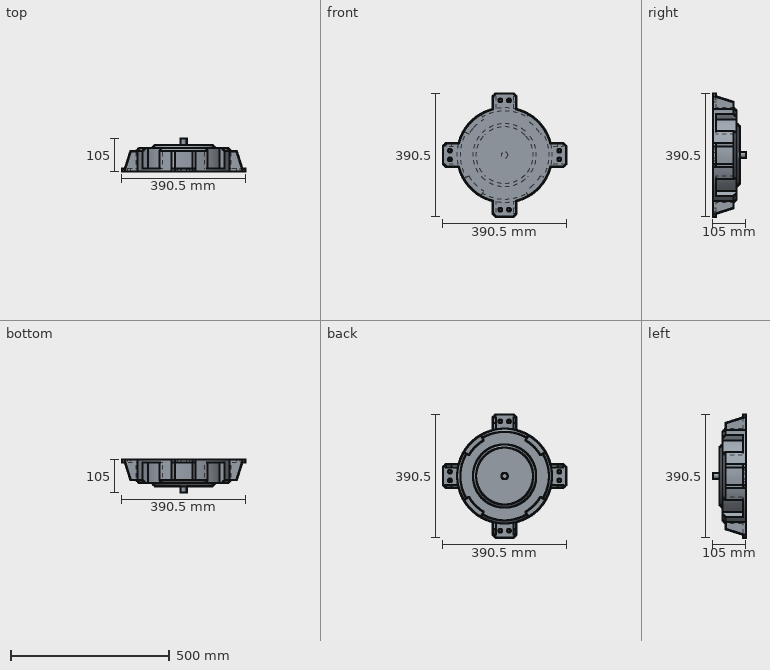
import cadquery as cq
import math

body_radius = 150.0
body_height = 75.0
body_chamfer = 10.0
cap_radius = 100.0
cap_height = 10.0
cap_chamfer = 10.0
shaft_diameter = 20.0
shaft_length = 20.0

tab_width = 75.0
tab_length = 50.0
tab_thickness = 10.0
tab_corner = 10.0
rib_thickness = 10.0
rib_height = body_height - body_chamfer
rib_foot_inset = 10.0
rib_top_inset = 27.5
hole_diameter = 10.0
hole_end_distance = 22.5

recess_angle = 29.5
recess_floor_radius = 131.0

quarter_turns = [0, 90, 180, 270]
recess_turn = 45

tab_root = math.sqrt(body_radius**2 - (tab_width / 2)**2)
tab_end = tab_root + tab_length
rib_gap = tab_width - 2 * rib_thickness
hole_spacing = rib_gap / 2


def disc(radius, height, base):
    """Cylinder about the Y axis, rising from Y = base."""
    return cq.Workplane("XZ", origin=(0, base, 0)).circle(radius).extrude(-height)


def turned(shape, angle):
    """Copy of a shape turned about the Y axis."""
    return shape.rotate((0, 0, 0), (0, 1, 0), angle)


def round_body():
    cap_top = body_height + cap_height
    body = disc(body_radius, body_height, 0).faces(">Y").chamfer(body_chamfer)
    cap = cq.Workplane("XY").polyline([
        (0, body_height),
        (cap_radius, body_height),
        (cap_radius - cap_chamfer, cap_top),
        (0, cap_top),
    ]).close().revolve(360, (0, 0, 0), (0, 1, 0))
    shaft = disc(shaft_diameter / 2, shaft_length, cap_top)
    return body.union(cap).union(shaft)


def tab_plate():
    """Tab along +X, running from the axis to its chamfered outer end."""
    return (
        cq.Workplane("XY")
        .box(tab_end, tab_thickness, tab_width, centered=(False, False, True))
        .edges("|Y and >X")
        .chamfer(tab_corner)
    )


def tab_rib(middle_z):
    """Sloping rib along +X, centred at the given Z and rooted inside the body wall."""
    root = recess_floor_radius
    return (
        cq.Workplane("XY", origin=(0, 0, middle_z))
        .moveTo(root, 0)
        .lineTo(tab_end - rib_foot_inset, 0)
        .lineTo(tab_end - rib_foot_inset, tab_thickness)
        .lineTo(tab_end - rib_top_inset, rib_height)
        .lineTo(root, rib_height)
        .close()
        .extrude(rib_thickness / 2, both=True)
    )


def tab_holes():
    hole_x = tab_end - hole_end_distance
    return (
        cq.Workplane("XZ")
        .pushPoints([(hole_x, -hole_spacing / 2), (hole_x, hole_spacing / 2)])
        .circle(hole_diameter / 2)
        .extrude(-tab_thickness)
    )


def mounting_tab():
    rib_offset = (tab_width - rib_thickness) / 2
    tab = tab_plate().union(tab_rib(rib_offset)).union(tab_rib(-rib_offset))
    return tab.cut(tab_holes())


def wall_recess():
    """Cutter about +X with radial sides and a round floor, open at the top of the body."""
    height = body_height - tab_thickness
    half_angle = math.radians(recess_angle / 2)
    reach = 2 * body_radius
    half_width = reach * math.tan(half_angle)
    wedge = (
        cq.Workplane("XZ", origin=(0, tab_thickness, 0))
        .polyline([(0, 0), (reach, -half_width), (reach, half_width)])
        .close()
        .extrude(-height)
    )
    return wedge.cut(disc(recess_floor_radius, height, tab_thickness))


result = round_body()
for angle in quarter_turns:
    result = result.union(turned(mounting_tab(), angle))
    result = result.cut(turned(wall_recess(), angle + recess_turn))